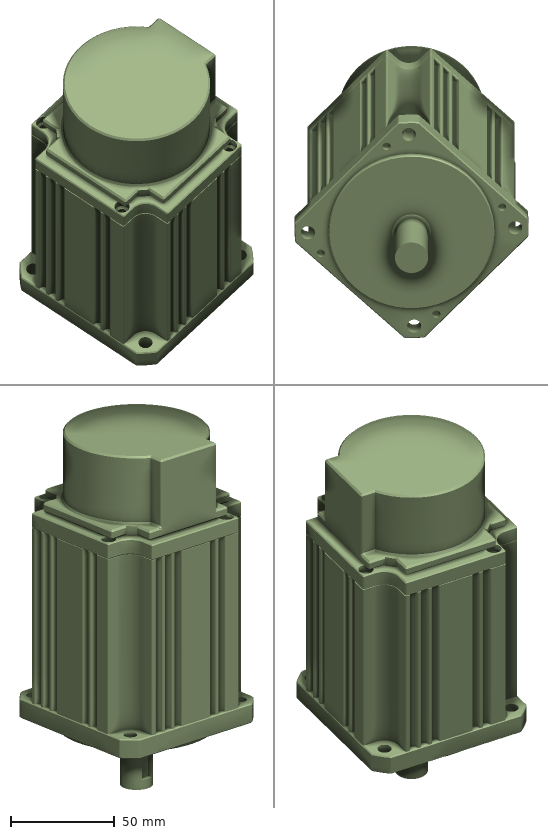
import cadquery as cq
TURN_ANGLE = -8.0
QUARTER_TURNS = (0, 90, 180, 270)

TOTAL_HEIGHT = 183.0
FLANGE_TOP = 10.0
HOUSING_TOP = 100.5
COVER_TOP = 108.5
PLATE_TOP = 113.5
ENCODER_TOP = 148.2
SHAFT_END = ENCODER_TOP - TOTAL_HEIGHT

FLANGE_SIDE = 86.4
CORNER_DIAMETER = 112.7
CORNER_BLEND = 1.5
MOUNT_SPACING = 70.6
MOUNT_HOLE_DIAMETER = 6.8
EDGE_BREAK = 0.5

BODY_SIDE = 86.0
BODY_HALF = BODY_SIDE / 2
RECESS_WALL = 28.0
RECESS_RADIUS = 7.9
RECESS_EDGE_FILLET = 1.0

GROOVE_WIDTH = 3.8
GROOVE_DEPTH = 2.7
GROOVE_PITCH = 6.0
FIRST_GROOVE = 11.2
LEFT_GROOVES = 3
RIGHT_GROOVES = 2
FIN_FILLET = 1.0

SCREW_ALONG = 23.5
SCREW_OUT = 38.8
SCREW_HOLE_DIAMETER = 3.8
SCREW_HEAD_DIAMETER = 7.3
SCREW_HEAD_DEPTH = 4.0

PILOT_DIAMETER = 80.0
PILOT_END = -2.7
SEAL_DIAMETER = 19.0
SEAL_END = -4.4

SHAFT_DIAMETER = 16.0
KEYWAY_WIDTH = 6.0
KEYWAY_DEPTH = 3.0
KEYWAY_TOP = -7.5
KEYWAY_LENGTH = 22.3

PLATE_HALF = 38.2
NOTCH_WALL = 25.3
NOTCH_BEVEL = 4.0
CAN_DIAMETER = 71.0
OUTLET_WIDTH = 36.0
CASE_EDGE = 1.0
CASE_CORNER_FILLET = 1.1
FOOT_OVERLAP = 0.2

SIDE_TOLERANCE = 0.2


def cylinder(diameter, bottom, top):
    return cq.Workplane("XY", origin=(0, 0, bottom)).circle(diameter / 2).extrude(top - bottom)


def block(x_min, x_max, y_min, y_max, bottom, top):
    size = (x_max - x_min, y_max - y_min, top - bottom)
    return cq.Workplane("XY").box(*size, centered=False).translate((x_min, y_min, bottom))


def square_block(half, bottom, top):
    return block(-half, half, -half, half, bottom, top)


def on_four_sides(shape):
    return [shape.rotate((0, 0, 0), (0, 0, 1), angle) for angle in QUARTER_TURNS]


def cut_on_four_sides(body, cutter):
    for turned_cutter in on_four_sides(cutter):
        body = body.cut(turned_cutter)
    return body


def across_and_out(edge):
    """The smaller and the larger of an upright edge's distances from the two middle planes."""
    centre = edge.Center()
    return sorted((abs(centre.x), abs(centre.y)))


def side_edges(body, half):
    """Upright edges that lie on the four outer sides of a square body."""
    return body.edges("|Z").filter(lambda edge: across_and_out(edge)[1] > half - SIDE_TOLERANCE)


def screw_bore(diameter, bottom, top):
    return cylinder(diameter, bottom, top).translate((SCREW_ALONG, -SCREW_OUT, 0))


def recessed_square(bottom, top):
    recess = block(RECESS_WALL, BODY_SIDE, RECESS_WALL, BODY_SIDE, bottom, top)
    recess = recess.edges("|Z and <X and <Y").fillet(RECESS_RADIUS)
    body = cut_on_four_sides(square_block(BODY_HALF, bottom, top), recess)
    return side_edges(body, BODY_HALF).fillet(RECESS_EDGE_FILLET)


def make_flange():
    flange = square_block(FLANGE_SIDE / 2, 0, FLANGE_TOP)
    flange = flange.intersect(cylinder(CORNER_DIAMETER, 0, FLANGE_TOP))
    flange = flange.edges("|Z").fillet(CORNER_BLEND)
    flange = flange.faces("<Z or >Z").chamfer(EDGE_BREAK)
    pilot = cylinder(PILOT_DIAMETER, PILOT_END, 0).faces("<Z").chamfer(EDGE_BREAK)
    flange = flange.union(pilot)
    mount_centres = cq.Workplane("XY").rect(MOUNT_SPACING, MOUNT_SPACING, forConstruction=True).vertices()
    flange = flange.cut(mount_centres.circle(MOUNT_HOLE_DIAMETER / 2).extrude(FLANGE_TOP))
    flange = cut_on_four_sides(flange, screw_bore(SCREW_HOLE_DIAMETER, PILOT_END, FLANGE_TOP))
    return flange.cut(cylinder(SHAFT_DIAMETER, PILOT_END, FLANGE_TOP))


def groove(offset):
    """Round-bottomed groove in the -Y side."""
    half_width = GROOVE_WIDTH / 2
    floor_centre = -BODY_HALF + GROOVE_DEPTH - half_width
    left, right = offset - half_width, offset + half_width
    slot = block(left, right, -BODY_SIDE, floor_centre, FLANGE_TOP, HOUSING_TOP)
    round_floor = cylinder(GROOVE_WIDTH, FLANGE_TOP, HOUSING_TOP).translate((offset, floor_centre, 0))
    return slot.union(round_floor)


def fin_edges(housing):
    """Groove lips, except those that border the flat central band, which stay sharp."""
    outermost_groove = FIRST_GROOVE + (LEFT_GROOVES - 1) * GROOVE_PITCH
    grooves_end = outermost_groove + GROOVE_WIDTH / 2 + SIDE_TOLERANCE
    edges = side_edges(housing, BODY_HALF)
    return edges.filter(lambda edge: FIRST_GROOVE < across_and_out(edge)[0] < grooves_end)


def make_housing():
    housing = recessed_square(FLANGE_TOP, HOUSING_TOP)
    offsets = [-FIRST_GROOVE - i * GROOVE_PITCH for i in range(LEFT_GROOVES)]
    offsets += [FIRST_GROOVE + i * GROOVE_PITCH for i in range(RIGHT_GROOVES)]
    for offset in offsets:
        housing = cut_on_four_sides(housing, groove(offset))
    housing = fin_edges(housing).fillet(FIN_FILLET)
    return cut_on_four_sides(housing, screw_bore(SCREW_HOLE_DIAMETER, FLANGE_TOP, HOUSING_TOP))


def make_cover():
    cover = recessed_square(HOUSING_TOP, COVER_TOP)
    cover = cover.faces("<Z or >Z").chamfer(EDGE_BREAK)
    cover = cut_on_four_sides(cover, screw_bore(SCREW_HOLE_DIAMETER, HOUSING_TOP, COVER_TOP))
    head_floor = COVER_TOP - SCREW_HEAD_DEPTH
    return cut_on_four_sides(cover, screw_bore(SCREW_HEAD_DIAMETER, head_floor, COVER_TOP))


def make_base_plate():
    plate = square_block(PLATE_HALF, COVER_TOP, PLATE_TOP)
    notch = block(NOTCH_WALL, BODY_SIDE, NOTCH_WALL, BODY_SIDE, COVER_TOP, PLATE_TOP)
    plate = cut_on_four_sides(plate, notch)
    plate = side_edges(plate, PLATE_HALF).fillet(CASE_CORNER_FILLET)
    plate = plate.faces("<Z or >Z").chamfer(CASE_EDGE)
    bevel_end = NOTCH_WALL + NOTCH_BEVEL
    bevel_root = NOTCH_WALL - NOTCH_BEVEL
    bevel_points = [(NOTCH_WALL, bevel_end), (bevel_root, bevel_root), (bevel_end, NOTCH_WALL)]
    bevel = cq.Workplane("XY", origin=(0, 0, COVER_TOP)).polyline(bevel_points).close()
    bevel = bevel.extrude(PLATE_TOP - COVER_TOP)
    for turned_bevel in on_four_sides(bevel):
        plate = plate.union(turned_bevel)
    return plate


def can_with_outlet(bottom, top, margin=0.0):
    """Round can and its outlet, with their sides moved out by the margin."""
    half_width = OUTLET_WIDTH / 2 + margin
    outlet = block(-half_width, half_width, 0, PLATE_HALF, bottom, top)
    outlet = outlet.edges("|Z and >Y").fillet(CASE_CORNER_FILLET)
    return cylinder(CAN_DIAMETER + 2 * margin, bottom, top).union(outlet)


def make_encoder_case():
    can = can_with_outlet(COVER_TOP + CASE_EDGE, ENCODER_TOP).faces(">Z").chamfer(CASE_EDGE)
    foot = can_with_outlet(PLATE_TOP - FOOT_OVERLAP, PLATE_TOP + CASE_EDGE, CASE_EDGE)
    foot = foot.faces(">Z").chamfer(CASE_EDGE)
    return make_base_plate().union(can).union(foot)


def make_seal():
    return cylinder(SEAL_DIAMETER, SEAL_END, PILOT_END).cut(cylinder(SHAFT_DIAMETER, SEAL_END, PILOT_END))


def make_shaft():
    shaft = cylinder(SHAFT_DIAMETER, SHAFT_END, FLANGE_TOP)
    half_width = KEYWAY_WIDTH / 2
    floor = SHAFT_DIAMETER / 2 - KEYWAY_DEPTH
    keyway_end = KEYWAY_TOP - KEYWAY_LENGTH
    return shaft.cut(block(-half_width, half_width, floor, SHAFT_DIAMETER, keyway_end, KEYWAY_TOP))


flange = make_flange()
housing = make_housing()
cover = make_cover()
encoder_case = make_encoder_case()
seal = make_seal()
shaft = make_shaft()

upright_motor = [flange, housing, cover, encoder_case, seal, shaft]
motor = [body.rotate((0, 0, 0), (0, 0, 1), TURN_ANGLE) for body in upright_motor]
result = cq.Compound.makeCompound([body.val() for body in motor])